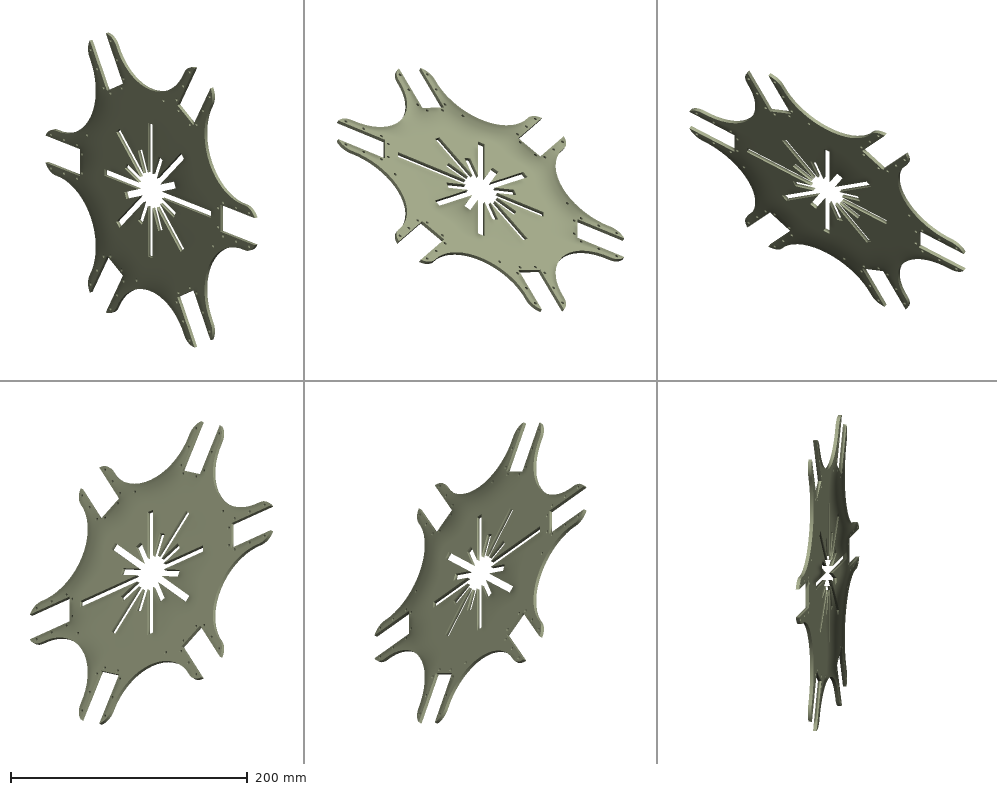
import cadquery as cq
import math

THICKNESS = 3.0
ARM_COUNT = 6
ARM_PITCH = 360 / ARM_COUNT
TIP_REACH = 137.3

NOTCH_HALF_WIDTH = 12.0
NOTCH_FLOOR = 92.3

BAY_RADIUS = 50.0
BAY_CENTER_DISTANCE = 140.0
TIP_ROUND_RADIUS = 14.8

HOLE_DIAMETER = 2.7
HOLE_EDGE_INSET = 3.0
PRONG_FIRST_HOLE = 95.8
PRONG_HOLE_PITCH = 17.0
PRONG_HOLE_COUNT = 3
FLOOR_HOLE_OFFSET = 8.5
BODY_HOLE_DISTANCE = 87.0
BODY_HOLE_ANGLES = (78.3, 161.7, 258.3, 341.7)

SLOT_WIDTH = 6.0
SLOT_PITCH = 22.5
LONG_SLOT_REACH = 59.9
SHORT_SLOT_REACH = 35.1
RIGHT_SLOT_REACH = 80.0


def polar(distance, angle):
    """Point at a distance and an angle in degrees from the plate centre."""
    return (distance * math.cos(math.radians(angle)), distance * math.sin(math.radians(angle)))


def rotate(point, angle):
    """Turn a point about the plate centre by an angle in degrees."""
    turn = math.radians(angle)
    x, z = point
    return (x * math.cos(turn) - z * math.sin(turn), x * math.sin(turn) + z * math.cos(turn))


def toward(start, target, distance):
    """Point a given distance from start on the line to target."""
    fraction = distance / math.dist(start, target)
    return (start[0] + fraction * (target[0] - start[0]), start[1] + fraction * (target[1] - start[1]))


def tip_round_center(tip, bay_center):
    """Centre of the round that passes through the tip and touches the bay from outside."""
    span = math.dist(tip, bay_center)
    center_gap = BAY_RADIUS + TIP_ROUND_RADIUS
    along = (TIP_ROUND_RADIUS**2 - center_gap**2 + span**2) / (2 * span)
    across = math.sqrt(TIP_ROUND_RADIUS**2 - along**2)
    foot_x, foot_z = toward(tip, bay_center, along)
    unit_x = (bay_center[0] - tip[0]) / span
    unit_z = (bay_center[1] - tip[1]) / span
    return (foot_x - across * unit_z, foot_z + across * unit_x)


def plate_outline():
    """Closed outline: for every arm its notch, tip round, bay and next arm's tip round."""
    half_pitch = ARM_PITCH / 2
    bay_center = polar(BAY_CENTER_DISTANCE, half_pitch)
    bay_bottom = polar(BAY_CENTER_DISTANCE - BAY_RADIUS, half_pitch)
    tip = (TIP_REACH, NOTCH_HALF_WIDTH)
    round_center = tip_round_center(tip, bay_center)
    tangent = toward(round_center, bay_center, TIP_ROUND_RADIUS)
    chord_middle = ((tip[0] + tangent[0]) / 2, (tip[1] + tangent[1]) / 2)
    round_middle = toward(round_center, chord_middle, TIP_ROUND_RADIUS)

    def mirrored(point):
        return (point[0], -point[1])

    outline = cq.Workplane("XZ").moveTo(*mirrored(tip))
    for arm in range(ARM_COUNT):
        angle = arm * ARM_PITCH
        next_angle = angle + ARM_PITCH
        outline = (
            outline
            .lineTo(*rotate((NOTCH_FLOOR, -NOTCH_HALF_WIDTH), angle))
            .lineTo(*rotate((NOTCH_FLOOR, NOTCH_HALF_WIDTH), angle))
            .lineTo(*rotate(tip, angle))
            .threePointArc(rotate(round_middle, angle), rotate(tangent, angle))
            .threePointArc(rotate(bay_bottom, angle), rotate(mirrored(tangent), next_angle))
            .threePointArc(rotate(mirrored(round_middle), next_angle), rotate(mirrored(tip), next_angle))
        )
    return outline.close()


def hole_centers():
    """Centres of the prong, notch floor and body holes."""
    prong_offset = NOTCH_HALF_WIDTH + HOLE_EDGE_INSET
    arm_holes = []
    for side in (-1, 1):
        arm_holes.append((NOTCH_FLOOR - HOLE_EDGE_INSET, side * FLOOR_HOLE_OFFSET))
        for index in range(PRONG_HOLE_COUNT):
            arm_holes.append((PRONG_FIRST_HOLE + index * PRONG_HOLE_PITCH, side * prong_offset))
    centers = [rotate(hole, arm * ARM_PITCH) for arm in range(ARM_COUNT) for hole in arm_holes]
    centers += [polar(BODY_HOLE_DISTANCE, angle) for angle in BODY_HOLE_ANGLES]
    return centers


def starburst_cutter():
    """Radial slots from the centre, long and short in turn."""
    cutter = cq.Workplane("XZ")
    for index in range(round(360 / SLOT_PITCH)):
        reach = LONG_SLOT_REACH if index % 2 == 0 else SHORT_SLOT_REACH
        if index == 0:
            reach = RIGHT_SLOT_REACH
        slot = (
            cq.Workplane("XZ")
            .center(reach / 2, 0)
            .rect(reach, SLOT_WIDTH)
            .extrude(THICKNESS, both=True)
            .rotate((0, 0, 0), (0, 1, 0), -index * SLOT_PITCH)
        )
        cutter = cutter.union(slot)
    return cutter


plate = plate_outline().extrude(THICKNESS / 2, both=True)
hole_cutter = (
    cq.Workplane("XZ")
    .pushPoints(hole_centers())
    .circle(HOLE_DIAMETER / 2)
    .extrude(THICKNESS, both=True)
)
result = plate.cut(hole_cutter).cut(starburst_cutter())